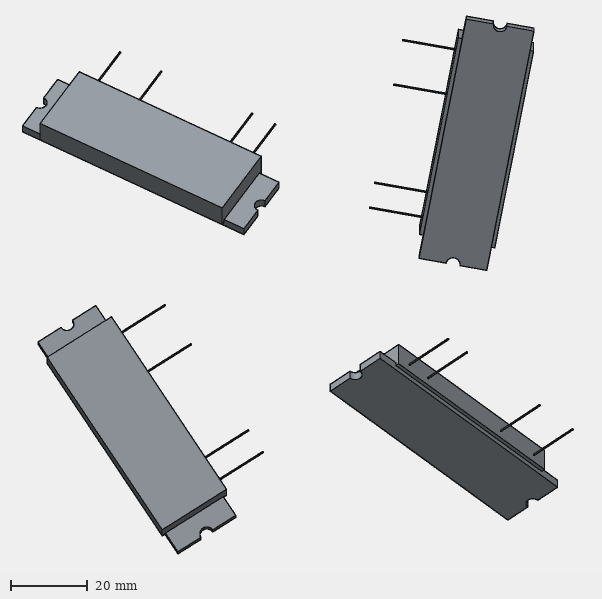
import cadquery as cq

total_length = 67.0
total_width = 34.0
total_height = 8.5

flange_width = 17.95
flange_thickness = 2.55
notch_diameter = 3.6

housing_length = 55.1
housing_width = 19.95
housing_bottom = 1.55

lead_diameter = 0.4
lead_height = 4.0
lead_positions = (-23.45, -11.0, 16.5, 23.45)
lead_length = total_width - housing_width


def make_flange():
    """Flat plate with a half-round screw notch in the middle of each end."""
    plate = cq.Workplane("XY").rect(total_length, flange_width).extrude(flange_thickness)
    notches = (
        cq.Workplane("XY")
        .pushPoints([(-total_length / 2, 0), (total_length / 2, 0)])
        .circle(notch_diameter / 2)
        .extrude(flange_thickness)
    )
    return plate.cut(notches)


def make_housing():
    """Plain block that wraps the upper part of the flange."""
    return (
        cq.Workplane("XY")
        .workplane(offset=housing_bottom)
        .rect(housing_length, housing_width)
        .extrude(total_height - housing_bottom)
    )


def make_leads():
    """Straight round leads pointing along +Y."""
    return (
        cq.Workplane("XZ")
        .workplane(offset=-housing_width / 2)
        .pushPoints([(x, lead_height) for x in lead_positions])
        .circle(lead_diameter / 2)
        .extrude(-lead_length)
    )


result = make_flange().union(make_housing()).union(make_leads())